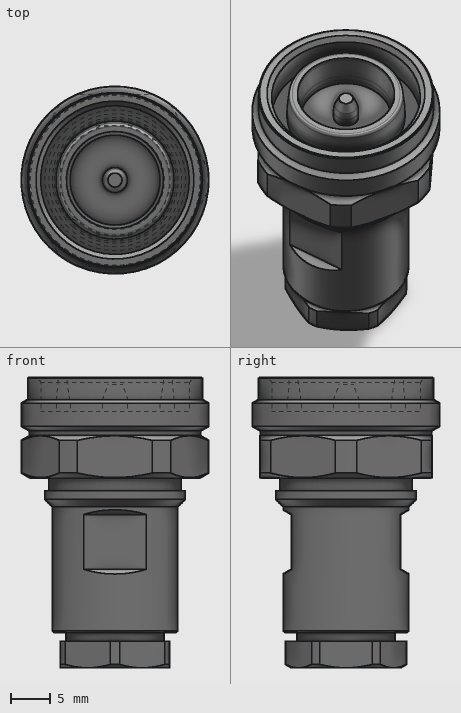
import cadquery as cq
import math


TOTAL_HEIGHT = 37.15
CHAMFER_SLOPE = math.tan(math.radians(30))

CLAMP_ACROSS_FLATS = 14.0
CLAMP_CORNER_RADIUS = 7.75
CLAMP_HEIGHT = 3.4

NECK_RADIUS = 6.3
BARREL_RADIUS = 8.05
BARREL_BOTTOM_Z = 4.5
BARREL_TOP_Z = 20.6
BARREL_EDGE_CHAMFER = 0.25
COLLAR_RADIUS = 9.0
COLLAR_BOTTOM_Z = BARREL_TOP_Z + (COLLAR_RADIUS - BARREL_RADIUS)
COLLAR_TOP_Z = 22.65
UPPER_NECK_RADIUS = 8.5

FLAT_DISTANCE = 7.0
FLAT_BOTTOM_Z = 12.6
FLAT_TOP_Z = 19.6

COUPLING_ACROSS_FLATS = 22.0
COUPLING_RADIUS = 12.0
HEX_FACE_RADIUS = 10.85
HEX_BOTTOM_Z = 24.25
HEX_TOP_Z = 29.75
GROOVE_RADIUS = 11.0
GROOVE_TOP_Z = 30.3
RING_BOTTOM_Z = GROOVE_TOP_Z + (COUPLING_RADIUS - GROOVE_RADIUS) * CHAMFER_SLOPE
RING_TOP_Z = 33.85
RIM_RADIUS = 11.2
RIM_BOTTOM_Z = RING_TOP_Z + (COUPLING_RADIUS - RIM_RADIUS) * CHAMFER_SLOPE
RIM_EDGE_CHAMFER = 0.15

CAVITY_RADIUS = 9.5
CAVITY_CHAMFER = 0.6
CAVITY_FLOOR_Z = 32.8

SLEEVE_BASE_RADIUS = 7.55
SLEEVE_TIP_RADIUS = 7.3
SLEEVE_TIP_ROUND = 0.4
SLEEVE_TAPER_BOTTOM_Z = 34.0
SLEEVE_MOUTH_RADIUS = 6.2
SLEEVE_BORE_RADIUS = 5.75
SLEEVE_MOUTH_DEPTH = 0.4
SLEEVE_BORE_TAPER_BOTTOM_Z = 34.2
SLEEVE_BORE_BLEND_STEP = 0.06
SLEEVE_BORE_BLEND_LENGTH = 0.7

PIN_RADIUS = 1.6
PIN_TIP_RADIUS = 0.9
PIN_TOP_Z = 36.25
PIN_CONE_LENGTH = 1.28
PIN_BLEND_STEP = 0.18
PIN_BLEND_LENGTH = 0.92


def revolve(profile):
    """Turn a closed (radius, Z) profile drawn on the XZ plane about the Z axis."""
    return profile.close().revolve(360, (0, 0, 0), (0, 1, 0))


def turned(points):
    return revolve(cq.Workplane("XZ").polyline(points))


def tangent_arc_radius(length, step):
    """Radius of an arc that starts parallel to the axis and moves off it by step over length."""
    return (length**2 + step**2) / (2 * step)


def hex_prism(across_flats, bottom_z, top_z, turn_angle):
    corner_diameter = across_flats / math.cos(math.radians(30))
    base = cq.Workplane("XY").workplane(offset=bottom_z)
    prism = base.polygon(6, corner_diameter).extrude(top_z - bottom_z)
    return prism.rotate((0, 0, 0), (0, 0, 1), turn_angle)


def make_clamp_nut():
    face_radius = CLAMP_ACROSS_FLATS / 2
    chamfer_height = (CLAMP_CORNER_RADIUS - face_radius) * CHAMFER_SLOPE
    envelope = turned([
        (0, 0),
        (face_radius, 0),
        (CLAMP_CORNER_RADIUS, chamfer_height),
        (CLAMP_CORNER_RADIUS, CLAMP_HEIGHT),
        (0, CLAMP_HEIGHT),
    ])
    return envelope.intersect(hex_prism(CLAMP_ACROSS_FLATS, 0, CLAMP_HEIGHT, 30))


def make_barrel():
    barrel = turned([
        (0, CLAMP_HEIGHT),
        (NECK_RADIUS, CLAMP_HEIGHT),
        (NECK_RADIUS, BARREL_BOTTOM_Z),
        (BARREL_RADIUS - BARREL_EDGE_CHAMFER, BARREL_BOTTOM_Z),
        (BARREL_RADIUS, BARREL_BOTTOM_Z + BARREL_EDGE_CHAMFER),
        (BARREL_RADIUS, BARREL_TOP_Z),
        (COLLAR_RADIUS, COLLAR_BOTTOM_Z),
        (COLLAR_RADIUS, COLLAR_TOP_Z),
        (UPPER_NECK_RADIUS, COLLAR_TOP_Z),
        (UPPER_NECK_RADIUS, HEX_BOTTOM_Z),
        (0, HEX_BOTTOM_Z),
    ])
    flat_cutter = make_flat_cutter()
    return barrel.cut(flat_cutter).cut(flat_cutter.mirror("XZ"))


def make_flat_cutter():
    """Trapezoidal bar along X whose sloping ends run out at the barrel surface."""
    runout = (BARREL_RADIUS - FLAT_DISTANCE) * CHAMFER_SLOPE
    section = cq.Workplane("YZ").polyline([
        (FLAT_DISTANCE, FLAT_BOTTOM_Z),
        (BARREL_RADIUS, FLAT_BOTTOM_Z - runout),
        (BARREL_RADIUS, FLAT_TOP_Z + runout),
        (FLAT_DISTANCE, FLAT_TOP_Z),
    ])
    return section.close().extrude(BARREL_RADIUS, both=True)


def make_coupling_hex():
    chamfer_height = (COUPLING_RADIUS - HEX_FACE_RADIUS) * CHAMFER_SLOPE
    envelope = turned([
        (0, HEX_BOTTOM_Z),
        (HEX_FACE_RADIUS, HEX_BOTTOM_Z),
        (COUPLING_RADIUS, HEX_BOTTOM_Z + chamfer_height),
        (COUPLING_RADIUS, HEX_TOP_Z - chamfer_height),
        (HEX_FACE_RADIUS, HEX_TOP_Z),
        (0, HEX_TOP_Z),
    ])
    return envelope.intersect(hex_prism(COUPLING_ACROSS_FLATS, HEX_BOTTOM_Z, HEX_TOP_Z, 0))


def make_coupling_ring():
    """Groove, ring and rim of the coupling nut, hollowed by the front cavity."""
    return turned([
        (0, HEX_TOP_Z),
        (GROOVE_RADIUS, HEX_TOP_Z),
        (GROOVE_RADIUS, GROOVE_TOP_Z),
        (COUPLING_RADIUS, RING_BOTTOM_Z),
        (COUPLING_RADIUS, RING_TOP_Z),
        (RIM_RADIUS, RIM_BOTTOM_Z),
        (RIM_RADIUS, TOTAL_HEIGHT - RIM_EDGE_CHAMFER),
        (RIM_RADIUS - RIM_EDGE_CHAMFER, TOTAL_HEIGHT),
        (CAVITY_RADIUS + CAVITY_CHAMFER, TOTAL_HEIGHT),
        (CAVITY_RADIUS, TOTAL_HEIGHT - CAVITY_CHAMFER),
        (CAVITY_RADIUS, CAVITY_FLOOR_Z),
        (0, CAVITY_FLOOR_Z),
    ])


def make_sleeve():
    """Thin sleeve, tapered outside and inside, with a rounded outer tip."""
    round_start_z = TOTAL_HEIGHT - SLEEVE_TIP_ROUND
    blend_bottom_z = SLEEVE_BORE_TAPER_BOTTOM_Z - SLEEVE_BORE_BLEND_LENGTH
    blend_radius = tangent_arc_radius(SLEEVE_BORE_BLEND_LENGTH, SLEEVE_BORE_BLEND_STEP)
    profile = (
        cq.Workplane("XZ")
        .moveTo(SLEEVE_BORE_RADIUS, CAVITY_FLOOR_Z)
        .lineTo(SLEEVE_BASE_RADIUS, CAVITY_FLOOR_Z)
        .lineTo(SLEEVE_BASE_RADIUS, SLEEVE_TAPER_BOTTOM_Z)
        .lineTo(SLEEVE_TIP_RADIUS, round_start_z)
        .radiusArc((SLEEVE_TIP_RADIUS - SLEEVE_TIP_ROUND, TOTAL_HEIGHT), -SLEEVE_TIP_ROUND)
        .lineTo(SLEEVE_MOUTH_RADIUS, TOTAL_HEIGHT)
        .lineTo(SLEEVE_MOUTH_RADIUS, TOTAL_HEIGHT - SLEEVE_MOUTH_DEPTH)
        .lineTo(SLEEVE_BORE_RADIUS + SLEEVE_BORE_BLEND_STEP, SLEEVE_BORE_TAPER_BOTTOM_Z)
        .radiusArc((SLEEVE_BORE_RADIUS, blend_bottom_z), -blend_radius)
    )
    return revolve(profile)


def make_pin():
    """Centre pin with a conical nose that an arc blends into the shank."""
    cone_bottom_z = PIN_TOP_Z - PIN_CONE_LENGTH
    blend_radius = tangent_arc_radius(PIN_BLEND_LENGTH, PIN_BLEND_STEP)
    profile = (
        cq.Workplane("XZ")
        .moveTo(0, CAVITY_FLOOR_Z)
        .lineTo(PIN_RADIUS, CAVITY_FLOOR_Z)
        .lineTo(PIN_RADIUS, cone_bottom_z - PIN_BLEND_LENGTH)
        .radiusArc((PIN_RADIUS - PIN_BLEND_STEP, cone_bottom_z), -blend_radius)
        .lineTo(PIN_TIP_RADIUS, PIN_TOP_Z)
        .lineTo(0, PIN_TOP_Z)
    )
    return revolve(profile)


result = (
    make_clamp_nut()
    .union(make_barrel())
    .union(make_coupling_hex())
    .union(make_coupling_ring())
    .union(make_sleeve())
    .union(make_pin())
)